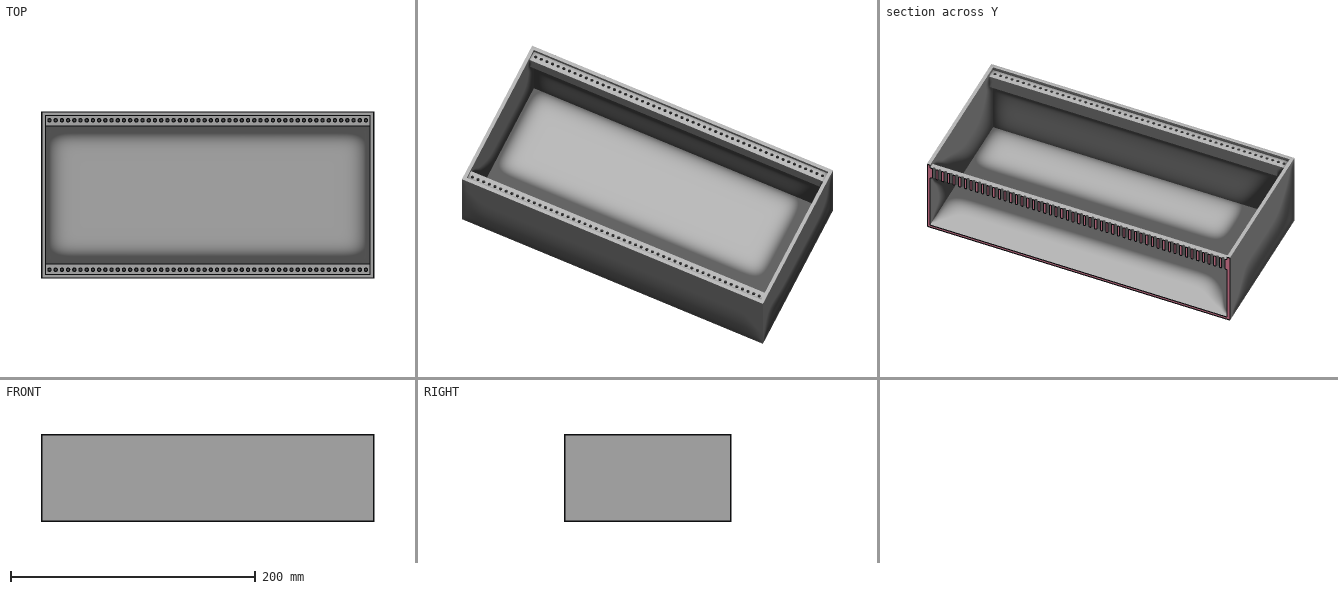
import cadquery as cq

LENGTH = 272.0
WIDTH = 136.0
HEIGHT = 71.0
WALL = 3.0

RAIL_WIDTH = 8.5
RAIL_HEIGHT = 11.7
RAIL_DROP = WALL

HOLE_DIAMETER = 2.7
HOLE_COUNT = 52
HOLE_ROW_LENGTH = 259.0
HOLE_TO_WALL = 3.8

SLOT_LENGTH = 59.0
SLOT_BOTTOM = 47.5
SLOT_CENTER_X = -30.0

INNER_LENGTH = LENGTH - 2 * WALL
INNER_WIDTH = WIDTH - 2 * WALL
RAIL_TOP = HEIGHT - RAIL_DROP
RAIL_BOTTOM = RAIL_TOP - RAIL_HEIGHT
HOLE_PITCH = HOLE_ROW_LENGTH / (HOLE_COUNT - 1)


def make_box():
    """Box with an open top, a floor and four walls."""
    outer = cq.Workplane("XY").box(LENGTH, WIDTH, HEIGHT, centered=(True, True, False))
    cavity = (
        cq.Workplane("XY")
        .workplane(offset=WALL)
        .rect(INNER_LENGTH, INNER_WIDTH)
        .extrude(HEIGHT - WALL)
    )
    return outer.cut(cavity)


def make_rail(side):
    """Drilled rail on the long wall at +Y (side = 1) or -Y (side = -1)."""
    rail_y = side * (INNER_WIDTH - RAIL_WIDTH) / 2
    hole_y = side * (INNER_WIDTH / 2 - HOLE_TO_WALL)
    rail_base = cq.Workplane("XY").workplane(offset=RAIL_BOTTOM)
    rail = rail_base.center(0, rail_y).rect(INNER_LENGTH, RAIL_WIDTH).extrude(RAIL_HEIGHT)
    holes = (
        rail_base.center(0, hole_y)
        .rarray(HOLE_PITCH, 2.7, HOLE_COUNT, 1)
        .circle(HOLE_DIAMETER / 2)
        .extrude(RAIL_HEIGHT)
    )
    return rail.cut(holes)


def make_wall_slot():
    """Cutter for the slot in the +Y wall, reaching up to the rail underside."""
    slot_height = RAIL_BOTTOM - SLOT_BOTTOM
    return (
        cq.Workplane("XY")
        .workplane(offset=SLOT_BOTTOM)
        .center(SLOT_CENTER_X, (WIDTH - WALL) / 2)
        .rect(SLOT_LENGTH, WALL)
        .extrude(slot_height)
    )


result = make_box()
for side in (1, -1):
    result = result.union(make_rail(side))
result = result.cut(make_wall_slot())